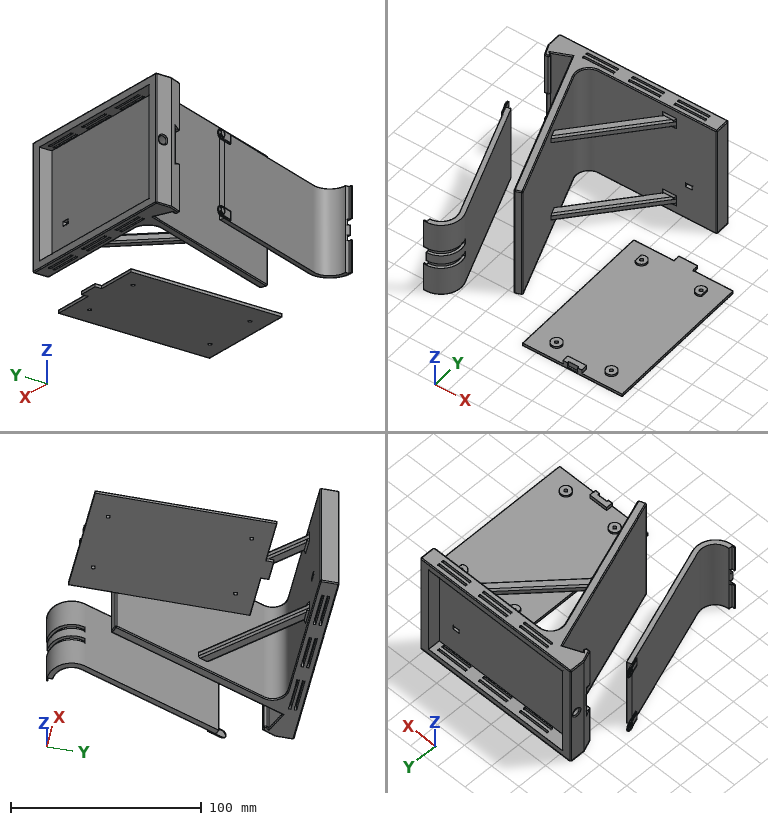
import cadquery as cq
import math

LEAN = math.radians(19.8)
ALONG = cq.Vector(math.sin(LEAN), -math.cos(LEAN))
ACROSS = cq.Vector(math.cos(LEAN), math.sin(LEAN))

WALL_LENGTH = 110.6
WALL_DEPTH = 10.3
HEIGHT = 75.0
EDGE_CHAMFER = 0.6
FIN_ROOT = cq.Vector(15.7, -9.7)
FIN_LENGTH = 106.5
FIN_THICKNESS = 5.0
FIN_FILLET = 8.4
HOOK_SHOULDER_Y = -10.0
HOOK_TIP_Y = -17.3
HOOK_TIP_LEFT = 2.9
HOOK_TIP_RIGHT = 5.5
HOOK_BARB = (6.0, -15.7)
HOOK_THROAT = (4.7, -14.5)

NOTCH_HEIGHT = 19.8
NOTCH_TOP_Y = -14.5
NOTCH_CHAMFER = 2.6
NOTCH_DEPTH = 6.4

CAVITY_CLEARANCE = 0.3
WALL_SKIN = 2.3
VENT_LENGTH = 20.4
VENT_WIDTH = 1.2
VENT_PITCH = 30.0
VENT_MIDDLE_X = 60.5
VENT_ROWS = (-3.7, -6.7)
CABLE_HOLE_DIAMETER = 4.9
CABLE_HOLE_CHAMFER = 0.6
CABLE_HOLE_Y = -4.5
WINDOW_LENGTH = 4.5
WINDOW_HEIGHT = 2.6
WINDOW_X = 92.2
WINDOW_Z = 24.5

STRUT_SLOPE = math.radians(47.7)
STRUT_WIDTH = 6.0
STRUT_HEIGHT = 5.0
STRUT_CHAMFER = 1.0
STRUT_WALL_X = 80.3
STRUT_LENGTH = 65.7
STRUT_Z_INSET = 9.5
FOOT_X = 79.7
FOOT_LENGTH = 9.1
FOOT_FLARE = 1.0

FLAP_HEIGHT = 50.0
FLAP_THICKNESS = 3.0
FLAP_LENGTH = 83.0
CURL_CENTRE = cq.Vector(13.7, -122.5)
CURL_RADIUS = 13.2
FLAP_TOP_RIGHT = CURL_CENTRE + ACROSS * CURL_RADIUS - ALONG * FLAP_LENGTH
LIP_LENGTH = 1.8
LIP_THICKNESS = 0.8
GROOVE_WIDTH = 3.2
GROOVE_DEPTH = 1.7
GROOVE_OFFSET = 4.5

LUG_LENGTH = 11.3
LUG_OVERHANG = 6.4
LUG_HEIGHT = 5.8
LUG_THICKNESS = 1.0
LUG_CHAMFER = 0.5
NUB_HEIGHT = 0.5
NUB_DIAMETER = 4.3
NUB_TAPER_ANGLE = 45

PLATE_LEFT = 79.1
PLATE_FRONT = -138.8
PLATE_WIDTH = 65.0
PLATE_LENGTH = 97.7
PLATE_THICKNESS = 1.8
TAB_WIDTH = 12.3
TAB_LENGTH = 4.3
CATCH_DEPTH = 4.3
CATCH_TOP = 4.3
CATCH_POCKET_WIDTH = 6.5
CATCH_POCKET_DEPTH = 1.0
CATCH_POCKET_FLOOR = 1.0
BOSS_DIAMETER = 7.0
BOSS_HEIGHT = 1.2
BOSS_HOLE_DIAMETER = 2.0
FRONT_BOSS_SPACING = 35.9
FRONT_BOSS_Y = 10.2
REAR_BOSS_SPACING = 39.0
REAR_BOSS_Y = 87.0
REAR_BOSS_FLAT = 2.3


def block(x_range, y_range, z_range):
    """Box between the given lower and upper limits."""
    size = [high - low for low, high in (x_range, y_range, z_range)]
    corner = (x_range[0], y_range[0], z_range[0])
    return cq.Workplane("XY").box(*size, centered=False).translate(corner)


def bracket_profile():
    """Wall, hook and fin as one extrusion with chamfered corners and rims."""
    fin_end = FIN_ROOT + ALONG * FIN_LENGTH
    fin_end_right = fin_end + ACROSS * FIN_THICKNESS
    run_to_wall = (-WALL_DEPTH - fin_end_right.y) / ALONG.y
    corner = fin_end_right + ALONG * run_to_wall

    tangent = FIN_FILLET / math.tan((math.pi / 2 - LEAN) / 2)
    fillet_on_fin = corner + ALONG * tangent
    fillet_on_wall = corner + cq.Vector(tangent, 0)
    fillet_centre = fillet_on_wall - cq.Vector(0, FIN_FILLET)
    fillet_middle = fillet_centre + (corner - fillet_centre).normalized() * FIN_FILLET

    outline = (
        cq.Workplane("XY")
        .moveTo(0, 0)
        .lineTo(0, HOOK_SHOULDER_Y)
        .lineTo(HOOK_TIP_LEFT, HOOK_TIP_Y)
        .lineTo(HOOK_TIP_RIGHT, HOOK_TIP_Y)
        .lineTo(*HOOK_BARB)
        .lineTo(*HOOK_THROAT)
        .lineTo(FIN_ROOT.x, FIN_ROOT.y)
        .lineTo(fin_end.x, fin_end.y)
        .lineTo(fin_end_right.x, fin_end_right.y)
        .lineTo(fillet_on_fin.x, fillet_on_fin.y)
        .threePointArc(fillet_middle.toTuple()[:2], fillet_on_wall.toTuple()[:2])
        .lineTo(WALL_LENGTH, -WALL_DEPTH)
        .lineTo(WALL_LENGTH, 0)
        .close()
    )
    body = outline.extrude(HEIGHT)
    square_corners = (
        (0, 0),
        (WALL_LENGTH, 0),
        (WALL_LENGTH, -WALL_DEPTH),
        (fin_end.x, fin_end.y),
        (fin_end_right.x, fin_end_right.y),
    )
    for x, y in square_corners:
        corner_edge = cq.selectors.NearestToPointSelector((x, y, HEIGHT / 2))
        body = body.edges("|Z").edges(corner_edge).chamfer(EDGE_CHAMFER)
    return body.faces("<Z or >Z").edges().chamfer(EDGE_CHAMFER)


def strut(z):
    """Chamfered bar from the wall to the fin, with a flared foot on the wall."""
    towards_fin = cq.Vector(-math.cos(STRUT_SLOPE), -math.sin(STRUT_SLOPE))
    start = cq.Vector(STRUT_WALL_X, -WALL_DEPTH, z) - towards_fin * STRUT_WIDTH
    bar = (
        cq.Workplane(cq.Plane(start, xDir=(0, 0, 1), normal=towards_fin))
        .rect(STRUT_HEIGHT, STRUT_WIDTH)
        .extrude(STRUT_WIDTH + STRUT_LENGTH)
        .edges(cq.selectors.ParallelDirSelector(towards_fin))
        .chamfer(STRUT_CHAMFER)
    )
    behind_face = block((0, WALL_LENGTH), (-WALL_DEPTH, 0), (0, HEIGHT))
    foot = (
        cq.Workplane("XZ", origin=(FOOT_X, -WALL_DEPTH, z))
        .rect(FOOT_LENGTH, STRUT_HEIGHT + 2 * FOOT_FLARE)
        .extrude(FOOT_FLARE, taper=45)
    )
    return bar.cut(behind_face).union(foot)


def hook_notch():
    """Rectangular notch through the hook's lip, with a chamfered mouth on its outer face."""
    width = 2 * (NOTCH_TOP_Y - HOOK_TIP_Y)
    entry = cq.Workplane("YZ", origin=(0, HOOK_TIP_Y, HEIGHT / 2))
    mouth = (
        entry.rect(width + 2 * NOTCH_CHAMFER, NOTCH_HEIGHT + 2 * NOTCH_CHAMFER)
        .extrude(NOTCH_CHAMFER, taper=45)
    )
    return mouth.union(entry.rect(width, NOTCH_HEIGHT).extrude(NOTCH_DEPTH))


def wall_cavity():
    """Pocket open at the back of the wall, as large as the plate that covers it."""
    length = PLATE_LENGTH + 2 * CAVITY_CLEARANCE
    height = PLATE_WIDTH + 2 * CAVITY_CLEARANCE
    left = (WALL_LENGTH - length) / 2
    bottom = (HEIGHT - height) / 2
    return block((left, left + length), (WALL_SKIN - WALL_DEPTH, 0), (bottom, bottom + height))


def vents():
    """Two rows of three slots through the wall's top and bottom."""
    spots = [
        (VENT_MIDDLE_X + column * VENT_PITCH, row_y)
        for column in (-1, 0, 1)
        for row_y in VENT_ROWS
    ]
    return cq.Workplane("XY").pushPoints(spots).rect(VENT_LENGTH, VENT_WIDTH).extrude(HEIGHT)


def cable_hole():
    """Chamfered round hole through the wall's left end into the cavity."""
    entry = cq.Workplane("YZ", origin=(0, CABLE_HOLE_Y, HEIGHT / 2))
    bore = entry.circle(CABLE_HOLE_DIAMETER / 2).extrude(WALL_LENGTH / 2)
    mouth_radius = CABLE_HOLE_DIAMETER / 2 + CABLE_HOLE_CHAMFER
    return bore.union(entry.circle(mouth_radius).extrude(CABLE_HOLE_CHAMFER, taper=45))


def window():
    """Small rectangular opening through the wall's front skin."""
    return (
        cq.Workplane("XZ", origin=(WINDOW_X, 0, WINDOW_Z))
        .rect(WINDOW_LENGTH, WINDOW_HEIGHT)
        .extrude(WALL_DEPTH)
    )


def make_bracket():
    body = bracket_profile()
    for z in (STRUT_Z_INSET, HEIGHT - STRUT_Z_INSET):
        body = body.union(strut(z))
    for opening in (hook_notch(), wall_cavity(), vents(), cable_hole(), window()):
        body = body.cut(opening)
    return body


def curl_groove(bottom):
    """Shallow groove round the curl's outer face, ending where the straight panel starts."""
    ring = (
        cq.Workplane("XY", origin=(CURL_CENTRE.x, CURL_CENTRE.y, bottom))
        .circle(CURL_RADIUS)
        .circle(CURL_RADIUS - GROOVE_DEPTH)
        .extrude(GROOVE_WIDTH)
    )
    curl_zone = block(
        (CURL_CENTRE.x, CURL_CENTRE.x + CURL_RADIUS),
        (CURL_CENTRE.y - CURL_RADIUS, CURL_CENTRE.y + CURL_RADIUS * ACROSS.y),
        (bottom, bottom + GROOVE_WIDTH),
    )
    return ring.intersect(curl_zone)


def make_flap():
    """Straight panel that curls round to a downward end with a thin lip."""
    inner_radius = CURL_RADIUS - FLAP_THICKNESS
    outer_start = FLAP_TOP_RIGHT + ALONG * FLAP_LENGTH
    inner_start = outer_start - ACROSS * FLAP_THICKNESS
    top_left = FLAP_TOP_RIGHT - ACROSS * FLAP_THICKNESS
    middle = (ACROSS + cq.Vector(0, -1)).normalized()
    outer_middle = CURL_CENTRE + middle * CURL_RADIUS
    inner_middle = CURL_CENTRE + middle * inner_radius
    outer_end = (CURL_CENTRE.x, CURL_CENTRE.y - CURL_RADIUS)
    inner_end = (CURL_CENTRE.x, CURL_CENTRE.y - inner_radius)
    body = (
        cq.Workplane("XY")
        .moveTo(FLAP_TOP_RIGHT.x, FLAP_TOP_RIGHT.y)
        .lineTo(outer_start.x, outer_start.y)
        .threePointArc(outer_middle.toTuple()[:2], outer_end)
        .lineTo(*inner_end)
        .threePointArc(inner_middle.toTuple()[:2], (inner_start.x, inner_start.y))
        .lineTo(top_left.x, top_left.y)
        .close()
        .extrude(FLAP_HEIGHT)
    )

    lip_x = (CURL_CENTRE.x - LIP_LENGTH, CURL_CENTRE.x)
    lip_y = (outer_end[1], outer_end[1] + LIP_THICKNESS)
    middle_z = FLAP_HEIGHT / 2
    gap = GROOVE_OFFSET + GROOVE_WIDTH / 2
    for z_range in ((0, middle_z - gap), (middle_z + gap, FLAP_HEIGHT)):
        body = body.union(block(lip_x, lip_y, z_range))

    for side in (-1, 1):
        bottom = middle_z + side * GROOVE_OFFSET - GROOVE_WIDTH / 2
        body = body.cut(curl_groove(bottom))
    return body


def make_lug(z):
    """Round-ended strap on the flap's outer face, overhanging its top edge."""
    panel_corner = FLAP_TOP_RIGHT - ACROSS * FLAP_THICKNESS
    origin = cq.Vector(panel_corner.x, panel_corner.y, z)
    face = cq.Plane(origin, xDir=ALONG * -1, normal=ACROSS * -1)
    radius = LUG_HEIGHT / 2
    nub_x = LUG_OVERHANG - radius
    strap = (
        cq.Workplane(face)
        .moveTo(LUG_OVERHANG - LUG_LENGTH, -radius)
        .lineTo(nub_x, -radius)
        .threePointArc((LUG_OVERHANG, 0), (nub_x, radius))
        .lineTo(LUG_OVERHANG - LUG_LENGTH, radius)
        .close()
        .extrude(LUG_THICKNESS)
        .faces(cq.selectors.DirectionMinMaxSelector(ACROSS * -1))
        .edges()
        .chamfer(LUG_CHAMFER)
    )
    nub = (
        cq.Workplane(face)
        .workplane(offset=LUG_THICKNESS)
        .center(nub_x, 0)
        .circle(NUB_DIAMETER / 2)
        .extrude(NUB_HEIGHT, taper=NUB_TAPER_ANGLE)
    )
    return strap.union(nub)


def boss(x, y):
    """Round post from the plate's underside up to the boss's top, so that it joins the plate."""
    return (
        cq.Workplane("XY", origin=(x, y, 0))
        .circle(BOSS_DIAMETER / 2)
        .extrude(PLATE_THICKNESS + BOSS_HEIGHT)
    )


def make_plate():
    middle_x = PLATE_LEFT + PLATE_WIDTH / 2
    rear = PLATE_FRONT + PLATE_LENGTH
    body = block((PLATE_LEFT, PLATE_LEFT + PLATE_WIDTH), (PLATE_FRONT, rear), (0, PLATE_THICKNESS))

    tab_x = (middle_x - TAB_WIDTH / 2, middle_x + TAB_WIDTH / 2)
    body = body.union(block(tab_x, (rear, rear + TAB_LENGTH), (0, PLATE_THICKNESS)))

    body = body.union(block(tab_x, (PLATE_FRONT, PLATE_FRONT + CATCH_DEPTH), (0, CATCH_TOP)))
    pocket_x = (middle_x - CATCH_POCKET_WIDTH / 2, middle_x + CATCH_POCKET_WIDTH / 2)
    pocket_y = (PLATE_FRONT, PLATE_FRONT + CATCH_POCKET_DEPTH)
    body = body.cut(block(pocket_x, pocket_y, (CATCH_POCKET_FLOOR, CATCH_TOP)))

    holes = []
    for side in (-1, 1):
        front_spot = (middle_x + side * FRONT_BOSS_SPACING / 2, PLATE_FRONT + FRONT_BOSS_Y)
        rear_spot = (middle_x + side * REAR_BOSS_SPACING / 2, PLATE_FRONT + REAR_BOSS_Y)
        holes += [front_spot, rear_spot]
        body = body.union(boss(*front_spot))

        inward = rear_spot[0] - side * BOSS_DIAMETER / 2
        outward = rear_spot[0] + side * REAR_BOSS_FLAT
        kept = block(
            sorted((inward, outward)),
            (rear_spot[1] - BOSS_DIAMETER / 2, rear_spot[1] + BOSS_DIAMETER / 2),
            (0, PLATE_THICKNESS + BOSS_HEIGHT),
        )
        body = body.union(boss(*rear_spot).intersect(kept))

    drills = cq.Workplane("XY").pushPoints(holes).circle(BOSS_HOLE_DIAMETER / 2)
    return body.cut(drills.extrude(PLATE_THICKNESS + BOSS_HEIGHT))


bracket = make_bracket()
flap = make_flap()
lugs = [make_lug(z) for z in (LUG_HEIGHT / 2, FLAP_HEIGHT - LUG_HEIGHT / 2)]
plate = make_plate()

result = cq.Compound.makeCompound(
    [bracket.val(), flap.val(), *[lug.val() for lug in lugs], plate.val()]
)